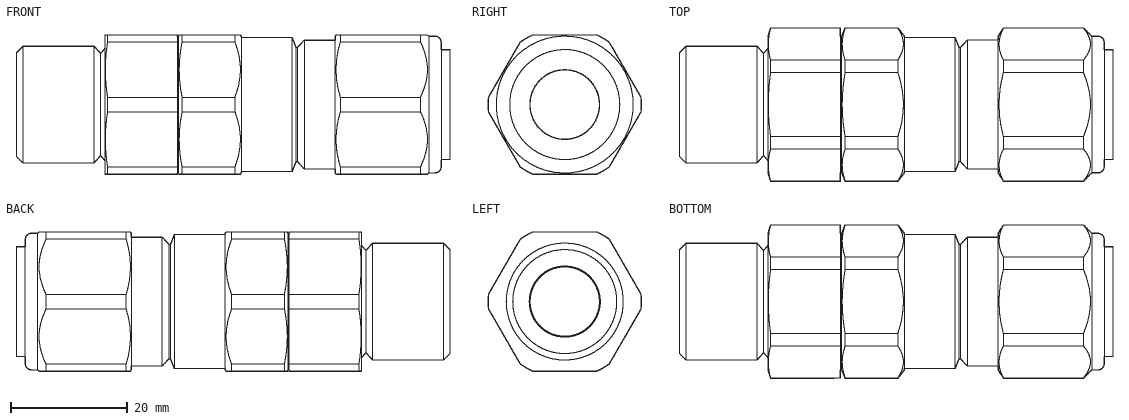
import cadquery as cq
import math

TOTAL_LENGTH = 74.45
HEX_SIDES = 6
ACROSS_FLATS = 24.0
ACROSS_CORNERS = 26.35
BORE_RADIUS = 5.95
BORE_CHAMFER = 0.15
corner_radius = ACROSS_CORNERS / 2

SPIGOT_RADIUS = 10.05
SPIGOT_CHAMFER = 1.1
SPIGOT_TAPER_START = 13.3
UNDERCUT_X = 14.45
UNDERCUT_RADIUS = 8.8
UNDERCUT_END_RADIUS = 9.7

HEX_FACE_RADIUS = 11.8
BODY_HEX_START = 15.2
BODY_HEX_CHAMFER = 0.45
BODY_HEX_END = 27.6
CAP_HEX_START = 27.85
CAP_HEX_CHAMFER = 0.6
CAP_HEX_TAPER = 37.5

BARREL_START = 38.65
BARREL_RADIUS = 11.55
BARREL_END = 47.35
GROOVE_FLOOR_START = 48.0
GROOVE_FLOOR_END = 48.25
GROOVE_RADIUS = 9.8
NECK_START = 49.4
NECK_RADIUS = 11.1

NUT_START = 54.7
NUT_CHAMFER = 0.9
NUT_TAPER = 69.4
COLLAR_START = 70.8
COLLAR_RADIUS = 11.8
COLLAR_FILLET = 1.1
COLLAR_END = 72.95
SLEEVE_RADIUS = 9.45


def revolve_about_x(outline):
    """Close a half-profile along the X axis and turn it a full revolution."""
    return outline.close().revolve(360, (0, 0, 0), (1, 0, 0))


def turned_envelope():
    """Solid of revolution about X that bounds every section and chamfers the hexagon corners."""
    profile = [
        (0, 0),
        (0, SPIGOT_RADIUS - SPIGOT_CHAMFER),
        (SPIGOT_CHAMFER, SPIGOT_RADIUS),
        (SPIGOT_TAPER_START, SPIGOT_RADIUS),
        (UNDERCUT_X, UNDERCUT_RADIUS),
        (BODY_HEX_START, UNDERCUT_END_RADIUS),
        (BODY_HEX_START, HEX_FACE_RADIUS),
        (BODY_HEX_START + BODY_HEX_CHAMFER, corner_radius),
        (BODY_HEX_END, corner_radius),
        (BODY_HEX_END, HEX_FACE_RADIUS),
        (CAP_HEX_START, HEX_FACE_RADIUS),
        (CAP_HEX_START + CAP_HEX_CHAMFER, corner_radius),
        (CAP_HEX_TAPER, corner_radius),
        (BARREL_START, HEX_FACE_RADIUS),
        (BARREL_START, BARREL_RADIUS),
        (BARREL_END, BARREL_RADIUS),
        (GROOVE_FLOOR_START, GROOVE_RADIUS),
        (GROOVE_FLOOR_END, GROOVE_RADIUS),
        (NECK_START, NECK_RADIUS),
        (NUT_START, NECK_RADIUS),
        (NUT_START, HEX_FACE_RADIUS),
        (NUT_START + NUT_CHAMFER, corner_radius),
        (NUT_TAPER, corner_radius),
        (COLLAR_START, COLLAR_RADIUS),
        (COLLAR_END - COLLAR_FILLET, COLLAR_RADIUS),
    ]
    outline = (
        cq.Workplane("XY")
        .polyline(profile)
        .radiusArc((COLLAR_END, COLLAR_RADIUS - COLLAR_FILLET), COLLAR_FILLET)
        .lineTo(COLLAR_END, SLEEVE_RADIUS)
        .lineTo(TOTAL_LENGTH, SLEEVE_RADIUS)
        .lineTo(TOTAL_LENGTH, 0)
    )
    return revolve_about_x(outline)


def hexagon_bar():
    """Full-length bar with flats facing +Z and -Z and corners on +Y and -Y."""
    vertex_radius = ACROSS_FLATS / 2 / math.cos(math.pi / HEX_SIDES)
    angles = [2 * math.pi * index / HEX_SIDES for index in range(HEX_SIDES)]
    vertices = [(vertex_radius * math.cos(angle), vertex_radius * math.sin(angle)) for angle in angles]
    return cq.Workplane("YZ").polyline(vertices).close().extrude(TOTAL_LENGTH)


def through_bore():
    """Cutter for the bore along X, flared by a small chamfer at the spigot end."""
    mouth_radius = BORE_RADIUS + BORE_CHAMFER
    profile = [
        (0, 0),
        (0, mouth_radius),
        (BORE_CHAMFER, BORE_RADIUS),
        (TOTAL_LENGTH, BORE_RADIUS),
        (TOTAL_LENGTH, 0),
    ]
    return revolve_about_x(cq.Workplane("XY").polyline(profile))


result = turned_envelope().intersect(hexagon_bar()).cut(through_bore())